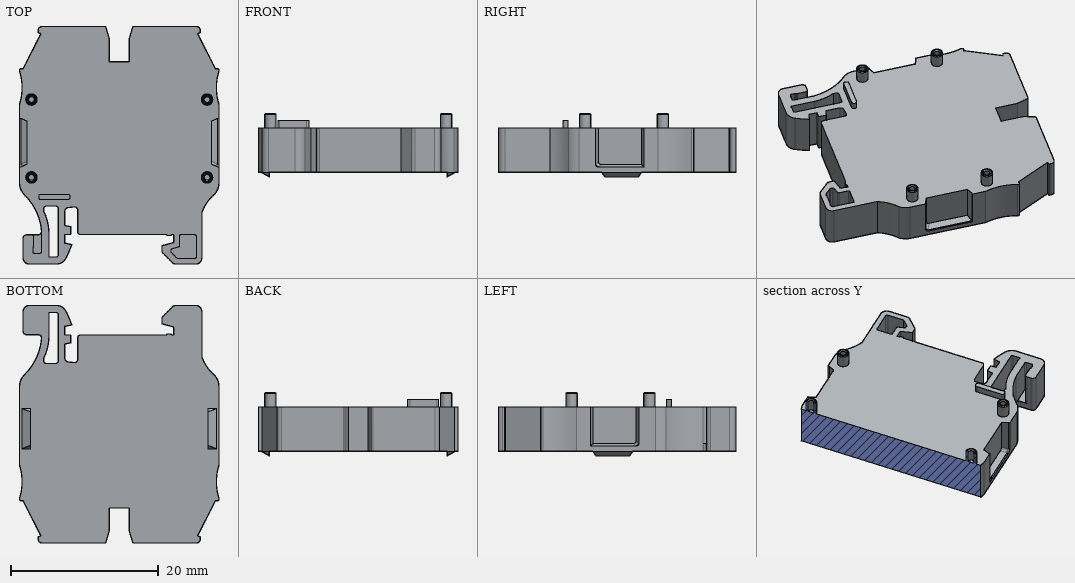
import cadquery as cq

HEIGHT = 32.2
WIDTH = 27.0
HALF_WIDTH = WIDTH / 2
THICKNESS = 6.02

NOTCH_FLOOR_Y = 27.45
NOTCH_HALF_WIDTH = 1.32
NOTCH_TAPER_Y = 30.5
NOTCH_MOUTH_HALF_WIDTH = 1.85
HEAD_HALF_WIDTH = 10.98
NOTCH_MOUTH_RADIUS = 0.2
HEAD_CORNER_RADIUS = 0.58
HEAD_LIP_Y = 31.33
HEAD_NECK = (10.63, 31.2)
SHOULDER = (13.05, 26.4)
SHOULDER_CREST = (13.33, 26.47)
WAIST_TOP_Y = 26.15
WAIST_BOTTOM_Y = 21.65
WAIST_DEPTH = 0.35
SIDE_END_Y = 10.9
HIP_MIDDLE = (13.35, 10.2)
HIP_END = (12.98, 9.53)

RAIL_Y = 4.0
FOOT_CORNER_RADIUS = 0.9
LEFT_FOOT_X = -13.05
LEFT_LEG_X = -10.53
LEFT_LEG_MIDDLE = (-11.37, 7.4)
LEFT_LEG_CURVE_END_Y = 4.5
LEFT_LEG_FILLET_RADIUS = 0.42
LEFT_FOOT_UPPER_RADIUS = 0.5
RIGHT_LEG_X = 11.2
RIGHT_LEG_TOP_Y = 7.02
RIGHT_LEG_MIDDLE = (11.98, 8.47)
SPRING_X = -7.35
SPRING_GAP_X = -5.65
SPRING_GAP_LEFT_TOP_Y = 7.6
SPRING_GAP_RIGHT_TOP_Y = 7.8
SPRING_GAP_RADIUS = 0.42
STOP_X = -6.55
STOP_TIP_TOP_Y = 5.1
STOP_ROOT_TOP_Y = 5.25
STOP_RADIUS = 0.15
CLAW_START_X = -8.53
CLAW_BEND = (-7.18, 0.85)
CLAW_TIP = (-6.4, 2.67)
CLAW_TOP_Y = 2.85
BUMP_CENTRE_X = 6.73
BUMP_HALF_LENGTH = 0.35
BUMP_SLANT = 0.1
BUMP_DEPTH = 0.13
HOOK_X = 7.37
HOOK_TOP_Y = 2.95
HOOK_TOP_RADIUS = 0.15
HOOK_NOSE_X = 5.75
HOOK_NOSE_TOP_Y = 2.5
HOOK_NOSE_BOTTOM_Y = 1.65
HOOK_SOLE_X = HOOK_NOSE_X + HOOK_NOSE_BOTTOM_Y
HOOK_SOLE_RADIUS = 0.65

BLIND_FLOOR_Z = 1.03
PIN_X = 11.88
PIN_ROWS_Y = (11.75, 22.28)
PIN_RADIUS = 0.77
PIN_HEIGHT = 1.93
PIN_CHAMFER = 0.13
PIN_HOLE_RADIUS = 0.4
PIN_HOLE_CHAMFER = 0.15
RIB_START_X = -10.88
RIB_END_X = -6.63
RIB_CENTRE_Y = 9.1
RIB_WIDTH = 0.7
RIB_HEIGHT = 1.0
RIB_CORNER_RADIUS = 0.23
TAB_DROP = 0.65
TAB_OUTER_X = 13.17
TAB_INNER_X = 12.0
TAB_START_Y = 13.97
TAB_END_Y = 19.42
TAB_END_SLANT = 0.45
RECESS_LIP_X = 13.3
RECESS_BACK_X = 12.45
RECESS_LOW_Y = 13.17
RECESS_HIGH_Y = 19.75
RECESS_END_SLANT = 0.4
RECESS_LIP_Z = 0.7
RECESS_BACK_Z = 1.05
RECESS_CORNER_RADIUS = 0.42


def round_corners(solid, corners):
    """Round the upright edges standing at the given (x, y, radius) corners."""
    for x, y, radius in corners:
        middle_z = solid.val().Center().z
        edge = solid.edges("|Z").edges(cq.selectors.NearestToPointSelector((x, y, middle_z)))
        solid = edge.fillet(radius)
    return solid


def on_both_sides(right_solid):
    """Return a right-hand solid together with its mirror image on the left."""
    return right_solid.union(right_solid.mirror("YZ"))


def plate():
    waist_x = HALF_WIDTH - WAIST_DEPTH
    waist_y = (WAIST_TOP_Y + WAIST_BOTTOM_Y) / 2

    def left(point):
        return (-point[0], point[1])

    outline = (
        cq.Workplane("XY")
        .moveTo(-NOTCH_HALF_WIDTH, NOTCH_FLOOR_Y)
        .lineTo(-NOTCH_HALF_WIDTH, NOTCH_TAPER_Y)
        .lineTo(-NOTCH_MOUTH_HALF_WIDTH, HEIGHT)
        .lineTo(-HEAD_HALF_WIDTH, HEIGHT)
        .lineTo(-HEAD_HALF_WIDTH, HEAD_LIP_Y)
        .lineTo(*left(HEAD_NECK))
        .lineTo(*left(SHOULDER))
        .threePointArc(left(SHOULDER_CREST), (-HALF_WIDTH, WAIST_TOP_Y))
        .threePointArc((-waist_x, waist_y), (-HALF_WIDTH, WAIST_BOTTOM_Y))
        .lineTo(-HALF_WIDTH, SIDE_END_Y)
        .threePointArc(left(HIP_MIDDLE), left(HIP_END))
        .threePointArc(LEFT_LEG_MIDDLE, (LEFT_LEG_X, LEFT_LEG_CURVE_END_Y))
        .lineTo(LEFT_LEG_X, RAIL_Y)
        .lineTo(LEFT_FOOT_X, RAIL_Y)
        .lineTo(LEFT_FOOT_X, 0)
        .lineTo(CLAW_START_X, 0)
        .tangentArcPoint(CLAW_BEND, relative=False)
        .tangentArcPoint(CLAW_TIP, relative=False)
        .lineTo(SPRING_X, CLAW_TOP_Y)
        .lineTo(SPRING_X, RAIL_Y)
        .lineTo(STOP_X, RAIL_Y)
        .lineTo(STOP_X, STOP_TIP_TOP_Y)
        .lineTo(SPRING_X, STOP_ROOT_TOP_Y)
        .lineTo(SPRING_X, SPRING_GAP_LEFT_TOP_Y)
        .lineTo(SPRING_GAP_X, SPRING_GAP_RIGHT_TOP_Y)
        .lineTo(SPRING_GAP_X, RAIL_Y)
        .lineTo(BUMP_CENTRE_X - BUMP_HALF_LENGTH, RAIL_Y)
        .line(BUMP_SLANT, -BUMP_DEPTH)
        .line(2 * (BUMP_HALF_LENGTH - BUMP_SLANT), 0)
        .line(BUMP_SLANT, BUMP_DEPTH)
        .lineTo(HOOK_X, RAIL_Y)
        .lineTo(HOOK_X, HOOK_TOP_Y)
        .lineTo(HOOK_NOSE_X, HOOK_NOSE_TOP_Y)
        .lineTo(HOOK_NOSE_X, HOOK_NOSE_BOTTOM_Y)
        .lineTo(HOOK_SOLE_X, 0)
        .lineTo(RIGHT_LEG_X, 0)
        .lineTo(RIGHT_LEG_X, RIGHT_LEG_TOP_Y)
        .threePointArc(RIGHT_LEG_MIDDLE, HIP_END)
        .threePointArc(HIP_MIDDLE, (HALF_WIDTH, SIDE_END_Y))
        .lineTo(HALF_WIDTH, WAIST_BOTTOM_Y)
        .threePointArc((waist_x, waist_y), (HALF_WIDTH, WAIST_TOP_Y))
        .threePointArc(SHOULDER_CREST, SHOULDER)
        .lineTo(*HEAD_NECK)
        .lineTo(HEAD_HALF_WIDTH, HEAD_LIP_Y)
        .lineTo(HEAD_HALF_WIDTH, HEIGHT)
        .lineTo(NOTCH_MOUTH_HALF_WIDTH, HEIGHT)
        .lineTo(NOTCH_HALF_WIDTH, NOTCH_TAPER_Y)
        .lineTo(NOTCH_HALF_WIDTH, NOTCH_FLOOR_Y)
        .close()
    )
    corners = [
        (-NOTCH_MOUTH_HALF_WIDTH, HEIGHT, NOTCH_MOUTH_RADIUS),
        (NOTCH_MOUTH_HALF_WIDTH, HEIGHT, NOTCH_MOUTH_RADIUS),
        (-HEAD_HALF_WIDTH, HEIGHT, HEAD_CORNER_RADIUS),
        (HEAD_HALF_WIDTH, HEIGHT, HEAD_CORNER_RADIUS),
        (LEFT_LEG_X, RAIL_Y, LEFT_LEG_FILLET_RADIUS),
        (LEFT_FOOT_X, RAIL_Y, LEFT_FOOT_UPPER_RADIUS),
        (LEFT_FOOT_X, 0, FOOT_CORNER_RADIUS),
        (RIGHT_LEG_X, 0, FOOT_CORNER_RADIUS),
        (STOP_X, RAIL_Y, STOP_RADIUS),
        (SPRING_X, SPRING_GAP_LEFT_TOP_Y, SPRING_GAP_RADIUS),
        (SPRING_GAP_X, SPRING_GAP_RIGHT_TOP_Y, SPRING_GAP_RADIUS),
        (SPRING_GAP_X, RAIL_Y, SPRING_GAP_RADIUS),
        (HOOK_X, HOOK_TOP_Y, HOOK_TOP_RADIUS),
        (HOOK_SOLE_X, 0, HOOK_SOLE_RADIUS),
    ]
    return round_corners(outline.extrude(THICKNESS), corners)


def spring_window():
    """Opening right through the left leg that lets it flex."""
    left_x, right_x, bottom_y, top_y = -10.2, -8.28, 1.0, 7.85
    lower_left_x = -9.5
    curve_middle = (-9.7, 5.75)
    curve_top_y, curve_bottom_y = 7.18, 4.38
    upper_radius, lower_radius = 0.32, 0.23
    window = (
        cq.Workplane("XY")
        .moveTo(lower_left_x, bottom_y)
        .lineTo(right_x, bottom_y)
        .lineTo(right_x, top_y)
        .lineTo(left_x, top_y)
        .lineTo(left_x, curve_top_y)
        .threePointArc(curve_middle, (lower_left_x, curve_bottom_y))
        .close()
        .extrude(THICKNESS)
    )
    corners = [
        (right_x, bottom_y, lower_radius),
        (right_x, top_y, upper_radius),
        (left_x, top_y, upper_radius),
    ]
    return round_corners(window, corners)


def left_foot_pocket():
    """Blind pocket in the left foot, open at the upper side of the foot."""
    bottom_y, left_x, mouth_x = 1.48, -11.7, -11.6
    mouth_radius = 0.3
    floor_radius = 0.2
    step_top_y, step_bottom_y = 2.4, 2.2
    pocket = (
        cq.Workplane("XY", origin=(0, 0, BLIND_FLOOR_Z))
        .moveTo(left_x, bottom_y)
        .lineTo(LEFT_LEG_X, bottom_y)
        .lineTo(LEFT_LEG_X, LEFT_LEG_CURVE_END_Y)
        .lineTo(mouth_x - mouth_radius, LEFT_LEG_CURVE_END_Y)
        .lineTo(mouth_x - mouth_radius, RAIL_Y)
        .radiusArc((mouth_x, RAIL_Y - mouth_radius), mouth_radius)
        .lineTo(mouth_x, step_top_y)
        .lineTo(left_x, step_bottom_y)
        .close()
        .extrude(THICKNESS - BLIND_FLOOR_Z)
    )
    return round_corners(pocket, [(left_x, bottom_y, floor_radius), (LEFT_LEG_X, bottom_y, floor_radius)])


def right_foot_pocket():
    """Blind pocket following the shape of the right hook."""
    left_x, right_x, bottom_y = 8.15, 10.43, 0.77
    nose_x, nose_top_y, nose_bottom_y = 7.02, 2.05, 1.6
    nose_root_y = 2.38
    sole_x = nose_x + nose_bottom_y - bottom_y
    left_radius, right_radius, nose_radius = 0.15, 0.23, 0.2
    pocket = (
        cq.Workplane("XY", origin=(0, 0, BLIND_FLOOR_Z))
        .moveTo(left_x, RAIL_Y)
        .lineTo(right_x, RAIL_Y)
        .lineTo(right_x, bottom_y)
        .lineTo(sole_x, bottom_y)
        .lineTo(nose_x, nose_bottom_y)
        .lineTo(nose_x, nose_top_y)
        .lineTo(left_x, nose_root_y)
        .close()
        .extrude(THICKNESS - BLIND_FLOOR_Z)
    )
    corners = [
        (left_x, RAIL_Y, left_radius),
        (right_x, RAIL_Y, right_radius),
        (right_x, bottom_y, right_radius),
        (nose_x, nose_top_y, nose_radius),
        (left_x, nose_root_y, left_radius),
    ]
    return round_corners(pocket, corners)


def side_recess():
    """Recess in the right edge: slanted ends and a floor that rises towards the back."""
    plan = (
        cq.Workplane("XY")
        .moveTo(HALF_WIDTH, RECESS_LOW_Y)
        .lineTo(RECESS_LIP_X, RECESS_LOW_Y)
        .lineTo(RECESS_BACK_X, RECESS_LOW_Y + RECESS_END_SLANT)
        .lineTo(RECESS_BACK_X, RECESS_HIGH_Y - RECESS_END_SLANT)
        .lineTo(RECESS_LIP_X, RECESS_HIGH_Y)
        .lineTo(HALF_WIDTH, RECESS_HIGH_Y)
        .close()
        .extrude(THICKNESS)
    )
    section = (
        cq.Workplane("XZ", origin=(0, RECESS_HIGH_Y, 0))
        .moveTo(HALF_WIDTH, RECESS_LIP_Z)
        .lineTo(RECESS_LIP_X, RECESS_LIP_Z)
        .lineTo(RECESS_BACK_X, RECESS_BACK_Z)
        .lineTo(RECESS_BACK_X, THICKNESS)
        .lineTo(HALF_WIDTH, THICKNESS)
        .close()
        .extrude(RECESS_HIGH_Y - RECESS_LOW_Y)
    )
    recess = plan.intersect(section)
    slope_middle = (
        (RECESS_LIP_X + RECESS_BACK_X) / 2,
        RECESS_LOW_Y + RECESS_END_SLANT / 2,
        (RECESS_LIP_Z + RECESS_BACK_Z) / 2,
    )
    low_end_floor_edge = recess.edges(cq.selectors.NearestToPointSelector(slope_middle))
    lip_middle = ((HALF_WIDTH + RECESS_LIP_X) / 2, RECESS_LOW_Y, RECESS_LIP_Z)
    low_end_lip_edge = recess.edges(cq.selectors.NearestToPointSelector(lip_middle))
    return low_end_floor_edge.add(low_end_lip_edge).fillet(RECESS_CORNER_RADIUS)


def snap_tab():
    """Wedge under the right edge, deepest on its inner side, with slanted ends."""
    wedge = (
        cq.Workplane("XZ", origin=(0, TAB_END_Y, 0))
        .moveTo(TAB_OUTER_X, 0)
        .lineTo(TAB_INNER_X, 0)
        .lineTo(TAB_INNER_X, -TAB_DROP)
        .close()
        .extrude(TAB_END_Y - TAB_START_Y)
    )
    ends = (
        cq.Workplane("YZ", origin=(TAB_INNER_X, 0, 0))
        .moveTo(TAB_START_Y, 0)
        .lineTo(TAB_END_Y, 0)
        .lineTo(TAB_END_Y - TAB_END_SLANT, -TAB_DROP)
        .lineTo(TAB_START_Y + TAB_END_SLANT, -TAB_DROP)
        .close()
        .extrude(TAB_OUTER_X - TAB_INNER_X)
    )
    return wedge.intersect(ends)


def pins():
    """Four hollow pins on the top face, chamfered inside and out."""
    centres = [(side * PIN_X, y) for side in (-1, 1) for y in PIN_ROWS_Y]
    profile = (
        cq.Workplane("XZ")
        .moveTo(PIN_HOLE_RADIUS, 0)
        .lineTo(PIN_RADIUS, 0)
        .lineTo(PIN_RADIUS, PIN_HEIGHT - PIN_CHAMFER)
        .lineTo(PIN_RADIUS - PIN_CHAMFER, PIN_HEIGHT)
        .lineTo(PIN_HOLE_RADIUS + PIN_HOLE_CHAMFER, PIN_HEIGHT)
        .lineTo(PIN_HOLE_RADIUS, PIN_HEIGHT - PIN_HOLE_CHAMFER)
        .close()
    )
    pin = profile.revolve(360, (0, 0), (0, 1))
    all_pins = cq.Workplane("XY")
    for x, y in centres:
        all_pins = all_pins.add(pin.translate((x, y, THICKNESS)))
    return all_pins.combine()


def rib():
    """Low rib on the top face with a round right end and eased left corners."""
    half = RIB_WIDTH / 2
    bar = (
        cq.Workplane("XY", origin=(0, RIB_CENTRE_Y, THICKNESS))
        .moveTo(RIB_START_X, half)
        .lineTo(RIB_END_X - half, half)
        .threePointArc((RIB_END_X, 0), (RIB_END_X - half, -half))
        .lineTo(RIB_START_X, -half)
        .close()
        .extrude(RIB_HEIGHT)
    )
    return bar.edges("|Z and <X").fillet(RIB_CORNER_RADIUS)


body = plate()
body = body.cut(spring_window()).cut(left_foot_pocket()).cut(right_foot_pocket())
body = body.cut(on_both_sides(side_recess()))
body = body.union(on_both_sides(snap_tab()))
result = body.union(pins()).union(rib())